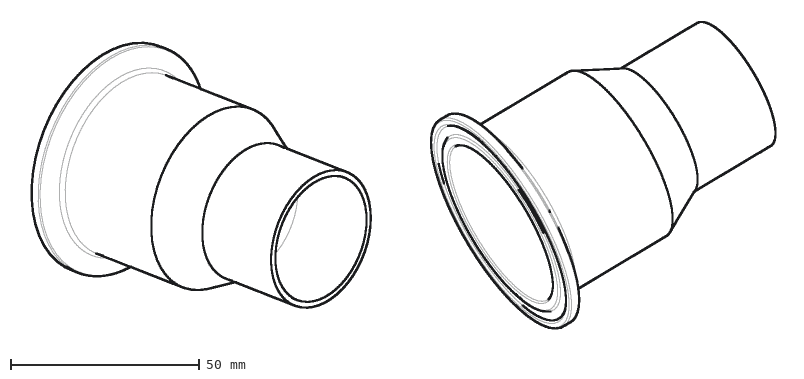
import cadquery as cq

LENGTH = 76.2
FLANGE_RADIUS = 63.9 / 2
BODY_RADIUS = 50.8 / 2
BODY_BORE_RADIUS = 47.5 / 2
TUBE_RADIUS = 38.1 / 2
TUBE_BORE_RADIUS = 34.8 / 2

CONE_START = LENGTH / 2
CONE_END = LENGTH * 2 / 3
BORE_CONE_START = 22.4
BORE_CONE_ROUND = 7.25

RIM_WIDTH = 3.05
FLANGE_BACK_END = 5.4
RIM_ROUND = 0.45
NECK_ROUND = 1.4
BORE_ENTRY_ROUND = 0.45

GROOVE_INNER_RADIUS = 26.8
GROOVE_OUTER_RADIUS = 29.65
GROOVE_DEPTH = 1.45
GROOVE_EDGE_ROUND = 0.7


def turned_wall():
    """Revolve the wall section, drawn as (axial, radial), about the X axis."""
    groove_middle = (GROOVE_INNER_RADIUS + GROOVE_OUTER_RADIUS) / 2
    return (
        cq.Workplane("XY")
        .moveTo(0, BODY_BORE_RADIUS)
        .lineTo(0, GROOVE_INNER_RADIUS)
        .threePointArc((GROOVE_DEPTH, groove_middle), (0, GROOVE_OUTER_RADIUS))
        .lineTo(0, FLANGE_RADIUS)
        .lineTo(RIM_WIDTH, FLANGE_RADIUS)
        .lineTo(FLANGE_BACK_END, BODY_RADIUS)
        .lineTo(CONE_START, BODY_RADIUS)
        .lineTo(CONE_END, TUBE_RADIUS)
        .lineTo(LENGTH, TUBE_RADIUS)
        .lineTo(LENGTH, TUBE_BORE_RADIUS)
        .lineTo(CONE_END, TUBE_BORE_RADIUS)
        .lineTo(BORE_CONE_START, BODY_BORE_RADIUS)
        .close()
        .revolve(360, (0, 0, 0), (1, 0, 0))
    )


def round_circle(part, station, radius, size):
    """Fillet the circular edge of the given radius at a station along X."""
    tolerance = 0.01
    circles = [
        edge
        for edge in part.edges("%CIRCLE").vals()
        if abs(edge.Center().x - station) < tolerance and abs(edge.radius() - radius) < tolerance
    ]
    return part.newObject(circles).fillet(size)


ROUNDED_CIRCLES = [
    (0, BODY_BORE_RADIUS, BORE_ENTRY_ROUND),
    (0, GROOVE_INNER_RADIUS, GROOVE_EDGE_ROUND),
    (0, GROOVE_OUTER_RADIUS, GROOVE_EDGE_ROUND),
    (0, FLANGE_RADIUS, RIM_ROUND),
    (RIM_WIDTH, FLANGE_RADIUS, RIM_ROUND),
    (FLANGE_BACK_END, BODY_RADIUS, NECK_ROUND),
    (BORE_CONE_START, BODY_BORE_RADIUS, BORE_CONE_ROUND),
]

result = turned_wall()
for station, radius, size in ROUNDED_CIRCLES:
    result = round_circle(result, station, radius, size)